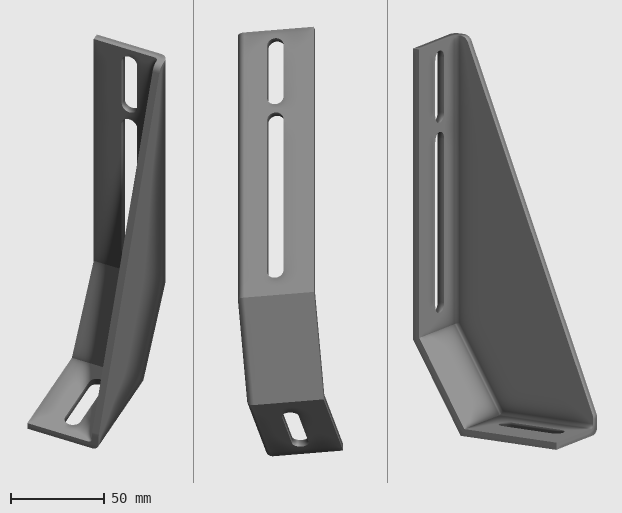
import cadquery as cq
import math

width = 42.0
depth = 90.0
height = 210.0
thickness = 4.0

slope_depth = 30.0
slope_height = 49.5

web_top_depth = 10.0
web_front_height = 10.0
web_corner_radius = 5.0

inner_bend_radius = 2.0
outer_bend_radius = 4.0

slot_width = 9.0
short_slot_length = 40.0
long_slot_length = 100.0
slot_gap = 5.0
base_slot_front_margin = 8.5

front_y = -depth
slot_x = width / 2
upper_slot_z = height - slot_gap - short_slot_length / 2
lower_slot_z = height - 2 * slot_gap - short_slot_length - long_slot_length / 2
base_slot_y = front_y + base_slot_front_margin + short_slot_length / 2

slope_angle = math.atan2(slope_depth, slope_height)
upper_bend_shift = thickness * math.tan(slope_angle / 2)
lower_bend_shift = thickness * math.tan((math.pi / 2 - slope_angle) / 2)
inner_upper_bend = (-thickness, slope_height + upper_bend_shift)
inner_lower_bend = (-slope_depth - lower_bend_shift, thickness)


def side_prism(points, length):
    """Extrude a (Y, Z) outline along +X from X = 0."""
    return cq.Workplane("YZ").polyline(points).close().extrude(length)


def edges_along(body, bend_points):
    """Return the edges of the +X face that run along the given chain of points."""
    face_edges = body.faces(">X").edges().vals()
    chosen = []
    for start, end in zip(bend_points, bend_points[1:]):
        middle_y = (start[0] + end[0]) / 2
        middle_z = (start[1] + end[1]) / 2
        chosen.append(min(
            face_edges,
            key=lambda edge: math.hypot(edge.Center().y - middle_y, edge.Center().z - middle_z),
        ))
    return body.newObject(chosen)


def make_outer_body():
    """Solid envelope with rounded web corners and a rounded outer bend."""
    flange_path = [
        (0, height),
        (0, slope_height),
        (-slope_depth, 0),
        (front_y, 0),
    ]
    web_edge = [(front_y, web_front_height), (-web_top_depth, height)]
    body = side_prism(flange_path + web_edge, width)
    web_corners = body.edges("|X").filter(
        lambda edge: edge.Center().y < -thickness and edge.Center().z > thickness
    )
    body = web_corners.fillet(web_corner_radius)
    bend_edges = edges_along(body, flange_path)
    return bend_edges.fillet(outer_bend_radius)


def make_cavity():
    """Space inside the flanges and the web, overshooting the open top and front."""
    flange_path = [
        (-thickness, 2 * height),
        inner_upper_bend,
        inner_lower_bend,
        (-2 * depth, thickness),
    ]
    cavity = side_prism(flange_path + [(-2 * depth, 2 * height)], width - thickness)
    bend_edges = edges_along(cavity, flange_path)
    return bend_edges.fillet(inner_bend_radius)


def back_slot(center_z, length):
    """Vertical slot cutter through the back flange."""
    return (
        cq.Workplane("XZ", origin=(slot_x, 0, center_z))
        .slot2D(length, slot_width, 90)
        .extrude(thickness)
    )


def base_slot():
    """Slot cutter through the base, running front to back."""
    return (
        cq.Workplane("XY", origin=(slot_x, base_slot_y, 0))
        .slot2D(short_slot_length, slot_width, 90)
        .extrude(thickness)
    )


result = (
    make_outer_body()
    .cut(make_cavity())
    .cut(back_slot(upper_slot_z, short_slot_length))
    .cut(back_slot(lower_slot_z, long_slot_length))
    .cut(base_slot())
)